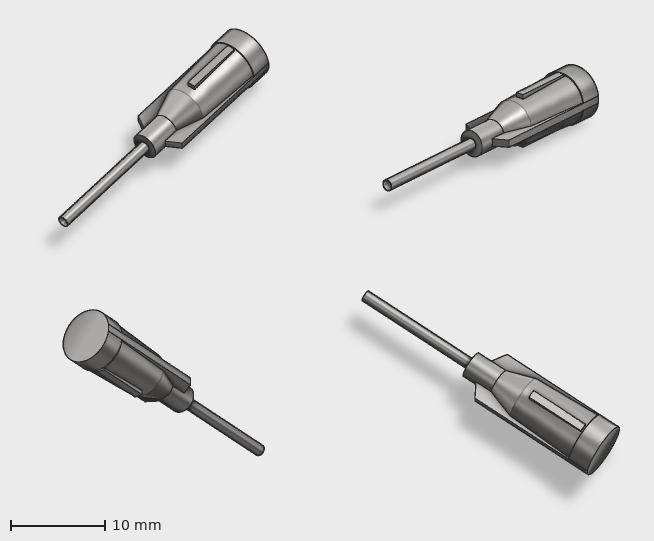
import cadquery as cq

total_length = 30.8
collar_length = 2.43
barrel_length = 7.92
cone_length = 3.2
neck_length = 3.57

collar_diameter = 6.05
barrel_back_diameter = 5.8
barrel_front_diameter = 5.1
neck_diameter = 3.0
tube_diameter = 1.25
bore_diameter = 1.1

wing_span = 6.05
wing_thickness = 0.85
wing_straight_length = 14.55
wing_point_length = 16.35

rib_span = 6.2
rib_width = 0.9
rib_length = 6.7
rib_gap = 0.2

collar_front = total_length - collar_length
barrel_front = collar_front - barrel_length
cone_front = barrel_front - cone_length
neck_front = cone_front - neck_length


def make_hub_and_tube():
    """Revolve the stepped and tapered outline about the Y axis."""
    return (
        cq.Workplane("XY")
        .moveTo(0, 0)
        .lineTo(tube_diameter / 2, 0)
        .lineTo(tube_diameter / 2, neck_front)
        .lineTo(neck_diameter / 2, neck_front)
        .lineTo(neck_diameter / 2, cone_front)
        .lineTo(barrel_front_diameter / 2, barrel_front)
        .lineTo(barrel_back_diameter / 2, collar_front)
        .lineTo(collar_diameter / 2, collar_front)
        .lineTo(collar_diameter / 2, total_length)
        .lineTo(0, total_length)
        .close()
        .revolve(360, (0, 0, 0), (0, 1, 0))
    )


def make_wings():
    """One plate through the hub forms both wings, its slanted front edges meeting inside the neck."""
    half_span = wing_span / 2
    straight_front = total_length - wing_straight_length
    point_front = total_length - wing_point_length
    outline = [
        (-half_span, total_length),
        (half_span, total_length),
        (half_span, straight_front),
        (0, point_front),
        (-half_span, straight_front),
    ]
    return (
        cq.Workplane("XY")
        .polyline(outline)
        .close()
        .extrude(wing_thickness / 2, both=True)
    )


def make_ribs():
    """One block through the barrel forms the upper and lower ribs."""
    rib_center = collar_front - rib_gap - rib_length / 2
    return cq.Workplane("XY").box(rib_width, rib_length, rib_span).translate((0, rib_center, 0))


def make_bore():
    """Blind bore along the tube, ending at the front face of the neck."""
    return cq.Workplane("XZ").circle(bore_diameter / 2).extrude(-neck_front)


result = make_hub_and_tube().union(make_wings()).union(make_ribs()).cut(make_bore())